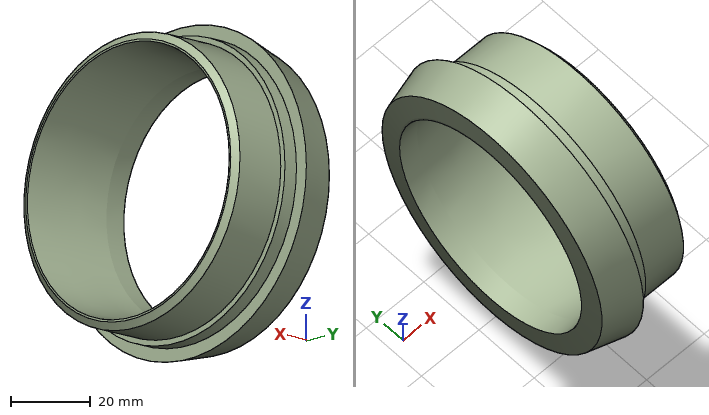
import cadquery as cq

length = 32.0
flange_diameter = 86.0

flange_length = 11.95
flange_front_diameter = 79.8
face_setback = 0.5

collar_diameter = 79.0
collar_length = 4.1
spigot_diameter = 76.1
end_taper_length = 1.3
end_taper_depth = 2.0

bore_diameter = 66.0
front_land_width = 0.5
throat_end = 6.2
bore_rear_diameter = 71.0

flange_radius = flange_diameter / 2
flange_front_radius = flange_front_diameter / 2
collar_radius = collar_diameter / 2
spigot_radius = spigot_diameter / 2
bore_radius = bore_diameter / 2
collar_end = flange_length + collar_length


def outer_body():
    """Solid of revolution bounded by the outside of the ring."""
    profile = (
        cq.Workplane("XY")
        .moveTo(0, 0)
        .lineTo(0, bore_radius + front_land_width)
        .lineTo(face_setback, flange_front_radius)
        .lineTo(flange_length, flange_radius)
        .lineTo(flange_length, collar_radius)
        .lineTo(collar_end, collar_radius)
        .lineTo(collar_end, spigot_radius)
        .lineTo(length - end_taper_length, spigot_radius)
        .lineTo(length, spigot_radius - end_taper_depth)
        .lineTo(length, 0)
        .close()
    )
    return profile.revolve(360, (0, 0, 0), (1, 0, 0))


def bore():
    """Through opening with a cylindrical throat and a rear flare."""
    profile = (
        cq.Workplane("XY")
        .moveTo(0, 0)
        .lineTo(0, bore_radius)
        .lineTo(throat_end, bore_radius)
        .lineTo(length, bore_rear_diameter / 2)
        .lineTo(length, 0)
        .close()
    )
    return profile.revolve(360, (0, 0, 0), (1, 0, 0))


result = outer_body().cut(bore())